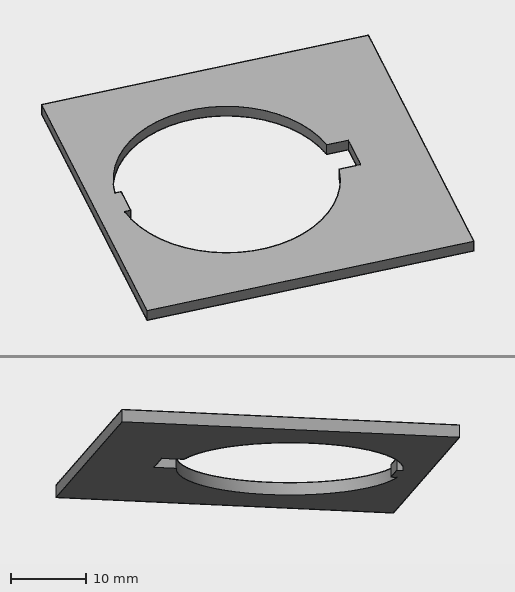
import cadquery as cq

plate_width = 44.8
plate_length = 45.75
plate_thickness = 1.7

hole_radius = 15.1
hole_center_y = -4.35

notch_width = 5.25
notch_reach = 17.9

tab_width = 4.05
tab_reach = 14.1


def bar_from_hole_center(width, start, end):
    """Rectangular bar on the Y centreline, start and end measured from the hole centre."""
    return (
        cq.Workplane("XY")
        .center(0, hole_center_y + (start + end) / 2)
        .rect(width, end - start)
        .extrude(plate_thickness)
    )


plate = cq.Workplane("XY").rect(plate_width, plate_length).extrude(plate_thickness)
round_hole = cq.Workplane("XY").center(0, hole_center_y).circle(hole_radius).extrude(plate_thickness)
notch = bar_from_hole_center(notch_width, 0, notch_reach)
tab = bar_from_hole_center(tab_width, -hole_radius, -tab_reach)

opening = round_hole.union(notch).cut(tab)
result = plate.cut(opening)